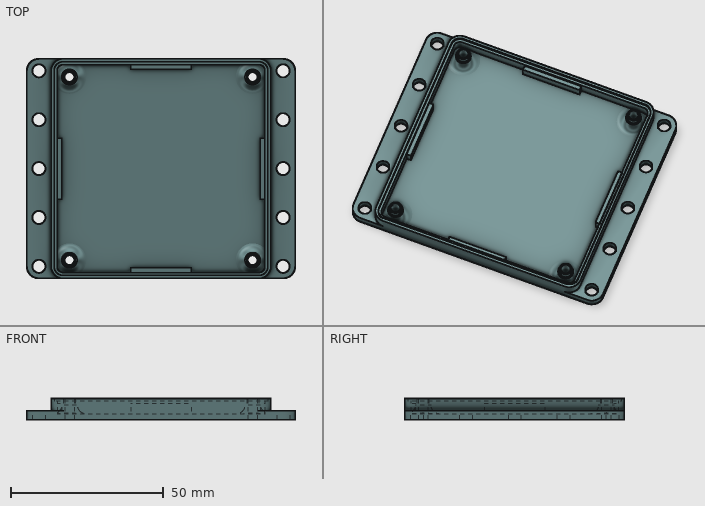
import cadquery as cq
import math

length = 88.0
width = 72.0
height = 7.0
corner_radius = 4.0

flange_thickness = 3.0
mount_hole_diameter = 4.2
mount_hole_pitch = 16.0
mount_holes_per_side = 5
mount_hole_x = (length + width) / 4

floor_thickness = 2.0
rim_wall = 1.0
tray_wall = 2 * rim_wall
rim_step_depth = 0.8
cavity_width = width - 2 * tray_wall

post_offset = 30.0
post_bore_diameter = 3.2
neck_diameter = 4.0
post_diameter = 5.0
foot_radius = 3.0
post_shoulder_z = floor_thickness + foot_radius
neck_top_z = height

tab_length = 20.0
tab_projection = 1.5
tab_top_z = height - 1.6


def rounded_block(size_x, size_y, bottom, top, radius):
    block = cq.Workplane("XY").workplane(offset=bottom).rect(size_x, size_y).extrude(top - bottom)
    return block.edges("|Z").fillet(radius)


def tray():
    """Flange and square body, hollowed from above with a ledge inside the rim."""
    flange = rounded_block(length, width, 0, flange_thickness, corner_radius)
    body = rounded_block(width, width, 0, height, corner_radius)
    rim_width = width - 2 * rim_wall
    rim_pocket = rounded_block(
        rim_width, rim_width, height - rim_step_depth, height, corner_radius - rim_wall
    )
    return flange.union(body).cut(rim_pocket).cut(cavity())


def cavity():
    return rounded_block(cavity_width, cavity_width, floor_thickness, height, corner_radius - tray_wall)


def screw_post():
    """Stepped post with a concave foot that flares out to the floor."""
    post_radius = post_diameter / 2
    neck_radius = neck_diameter / 2
    arc_center_r = post_radius + foot_radius
    arc_reach = foot_radius * math.cos(math.radians(45))
    profile = (
        cq.Workplane("XZ")
        .moveTo(0, 0)
        .lineTo(arc_center_r, 0)
        .lineTo(arc_center_r, floor_thickness)
        .threePointArc(
            (arc_center_r - arc_reach, post_shoulder_z - arc_reach),
            (post_radius, post_shoulder_z),
        )
        .lineTo(neck_radius, post_shoulder_z)
        .lineTo(neck_radius, neck_top_z)
        .lineTo(0, neck_top_z)
        .close()
    )
    return profile.revolve(360, (0, 0), (0, 1))


def stop_tabs():
    tab_height = tab_top_z - floor_thickness
    tab = (
        cq.Workplane("XY")
        .workplane(offset=floor_thickness)
        .center((cavity_width - tab_projection) / 2, 0)
        .rect(tab_projection, tab_length)
        .extrude(tab_height)
    )
    tabs = tab
    for angle in (90, 180, 270):
        tabs = tabs.union(tab.rotate((0, 0, 0), (0, 0, 1), angle))
    return tabs


def through_holes(points, diameter):
    return cq.Workplane("XY").pushPoints(points).circle(diameter / 2).extrude(height)


post_points = [(x, y) for x in (-post_offset, post_offset) for y in (-post_offset, post_offset)]
mount_points = [
    (x, (i - (mount_holes_per_side - 1) / 2) * mount_hole_pitch)
    for x in (-mount_hole_x, mount_hole_x)
    for i in range(mount_holes_per_side)
]

result = tray().union(stop_tabs())
for x, y in post_points:
    result = result.union(screw_post().translate((x, y, 0)).intersect(cavity()))
result = result.cut(through_holes(post_points, post_bore_diameter))
result = result.cut(through_holes(mount_points, mount_hole_diameter))